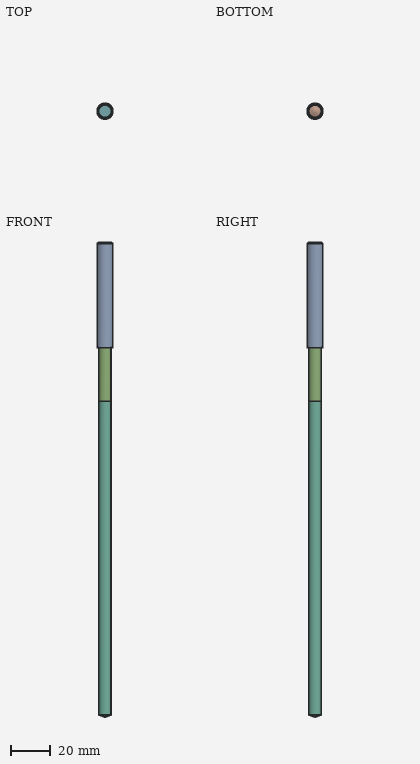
import cadquery as cq
import math

total_length = 239.15
shank_diameter = 8.0
shank_length = 53.0
shank_chamfer = 0.8
drill_diameter = 6.3
point_angle = 140.0
holder_length = 80.0

shank_radius = shank_diameter / 2
drill_radius = drill_diameter / 2
point_height = drill_radius / math.tan(math.radians(point_angle / 2))
joint_z = total_length - holder_length
shank_bottom_z = total_length - shank_length
neck_length = holder_length - shank_length


def make_cutting_part():
    """Cylindrical cutting length that ends in a conical point."""
    half_profile = (
        cq.Workplane("XZ")
        .moveTo(0, 0)
        .lineTo(drill_radius, point_height)
        .lineTo(drill_radius, joint_z)
        .lineTo(0, joint_z)
        .close()
    )
    return half_profile.revolve(360, (0, 0), (0, 1))


def make_holder():
    """Neck of the drill's diameter under the thicker shank, chamfered at the top."""
    neck = cq.Workplane("XY", origin=(0, 0, joint_z)).circle(drill_radius).extrude(neck_length)
    shank = (
        cq.Workplane("XY", origin=(0, 0, shank_bottom_z))
        .circle(shank_radius)
        .extrude(shank_length)
        .faces(">Z")
        .chamfer(shank_chamfer)
    )
    return neck.union(shank)


cutting_part = make_cutting_part()
holder = make_holder()

result = cq.Compound.makeCompound([cutting_part.val(), holder.val()])